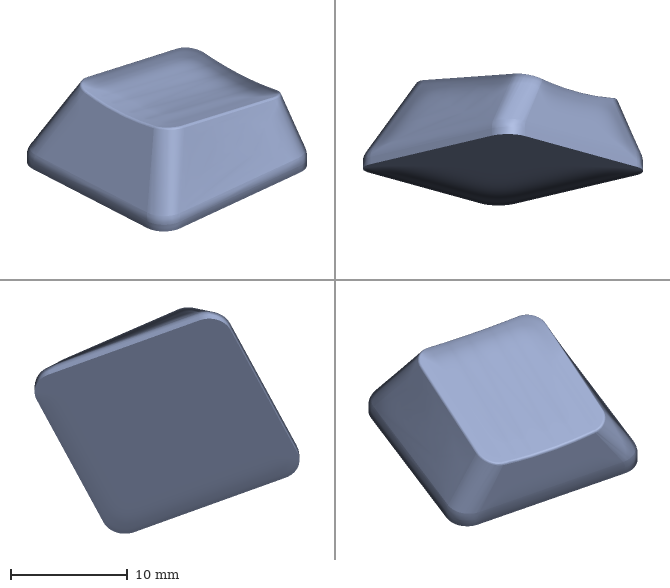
import cadquery as cq
import math

base_size = 18.16
half_base = base_size / 2
skirt_height = 0.65
shoulder_height = 0.73
shoulder_steps = 3
base_corner_radius = 2.0

side_lean = 0.5
front_lean = 0.54
back_lean = 0.06

top_tilt = 7.2
top_width = 11.8
top_front_y = -5.35
top_back_y = 8.65
top_corner_radius = 1.82
top_plane_height = 7.21

dish_radius = 32.69
dish_floor_height = 6.48
dish_length = 3 * base_size
rim_radius = 0.24


def shoulder_inset(lean, climb):
    """Inward travel after climbing an arc that starts upright and ends at the given lean."""
    bend_radius = shoulder_height / math.sin(math.atan(lean))
    return bend_radius - math.sqrt(bend_radius**2 - climb**2)


def rounded_rectangle(width, depth, radius):
    return cq.Sketch().rect(width, depth).vertices().fillet(radius)


def shoulder_outline(climb):
    """Level outline at a height above the top of the skirt."""
    half_width = half_base - shoulder_inset(side_lean, climb)
    front_y = -half_base + shoulder_inset(front_lean, climb)
    back_y = half_base - shoulder_inset(back_lean, climb)
    center = cq.Vector(0, (front_y + back_y) / 2, skirt_height + climb)
    flat = rounded_rectangle(2 * half_width, back_y - front_y, base_corner_radius)
    return flat.moved(cq.Location(center))


def top_outline():
    """Outline on the tilted plane that ends the walls."""
    tilt = math.radians(top_tilt)
    center_y = (top_front_y + top_back_y) / 2
    center = cq.Vector(0, center_y, top_plane_height - center_y * math.tan(tilt))
    depth = (top_back_y - top_front_y) / math.cos(tilt)
    flat = rounded_rectangle(top_width, depth, top_corner_radius)
    return flat.moved(cq.Location(center, cq.Vector(1, 0, 0), -top_tilt))


def make_blank():
    """Skirt, rounded shoulder and leaning walls, still without the dish."""
    climbs = [shoulder_height * step / shoulder_steps for step in range(shoulder_steps + 1)]
    shoulder_outlines = [shoulder_outline(climb) for climb in climbs]
    skirt = cq.Workplane("XY").placeSketch(
        rounded_rectangle(base_size, base_size, base_corner_radius)
    ).extrude(skirt_height)
    shoulder = cq.Workplane("XY").placeSketch(*shoulder_outlines).loft()
    walls = cq.Workplane("XY").placeSketch(shoulder_outlines[-1], top_outline()).loft(ruled=True)
    return skirt.union(shoulder).union(walls)


def make_dish_cutter():
    axis_height = dish_floor_height + dish_radius / math.cos(math.radians(top_tilt))
    return (
        cq.Workplane("XZ")
        .circle(dish_radius)
        .extrude(dish_length / 2, both=True)
        .rotate((0, 0, 0), (1, 0, 0), -top_tilt)
        .translate((0, 0, axis_height))
    )


dished = make_blank().cut(make_dish_cutter())
dish_face = cq.selectors.NearestToPointSelector((0, 0, dish_floor_height))
result = dished.faces(dish_face).edges().fillet(rim_radius)